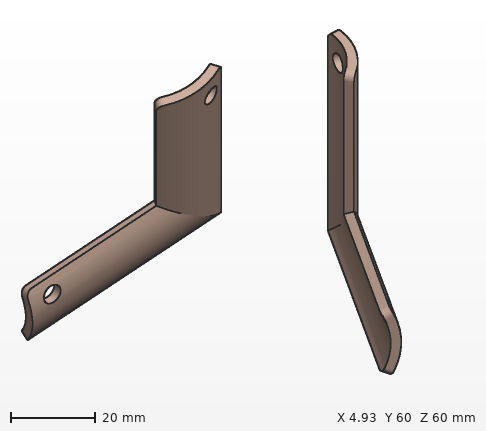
import cadquery as cq
import math

length = 60.0
width = length / 3
thickness = 2.6
outer_radius = width
corner_radius = 2.0
hole_diameter = 5.0
hole_end_distance = 6.65
hole_angle = 15.5

half_width = width / 2
arm_end = length - half_width
inner_radius = outer_radius - thickness
half_angle = math.asin(half_width / outer_radius)
arc_center_x = -inner_radius * math.cos(half_angle)


def arc_point(radius, angle):
    """Point of the arm's cross-section at an angle from +X."""
    return (arc_center_x + radius * math.cos(angle), radius * math.sin(angle))


def make_arm():
    """Upright curved arm with rounded free corners, mitred along Z = -Y."""
    arm = (
        cq.Workplane("XY", origin=(0, 0, -half_width))
        .moveTo(*arc_point(outer_radius, -half_angle))
        .threePointArc(arc_point(outer_radius, 0), arc_point(outer_radius, half_angle))
        .lineTo(*arc_point(inner_radius, half_angle))
        .threePointArc(arc_point(inner_radius, 0), arc_point(inner_radius, -half_angle))
        .close()
        .extrude(length)
    )
    arm = arm.faces(">Z").edges("%LINE").fillet(corner_radius)
    mitre_waste = (
        cq.Workplane("YZ")
        .polyline([(-width, width), (width, -width), (-width, -width)])
        .close()
        .extrude(width, both=True)
    )
    return arm.cut(mitre_waste)


def make_hole_cutter():
    """Radial cylinder through the upright arm near its free end."""
    angle = math.radians(hole_angle)
    axis = cq.Vector(math.cos(angle), math.sin(angle), 0)
    start = cq.Vector(arc_center_x, 0, arm_end - hole_end_distance)
    cylinder = cq.Solid.makeCylinder(hole_diameter / 2, 2 * outer_radius, start, axis)
    return cq.Workplane(obj=cylinder)


def turn_to_horizontal(shape):
    """Quarter turn about X that carries +Z to -Y."""
    return shape.rotate((0, 0, 0), (1, 0, 0), 90)


upright_arm = make_arm()
horizontal_arm = turn_to_horizontal(upright_arm.mirror("XZ"))
upright_hole = make_hole_cutter()
horizontal_hole = turn_to_horizontal(upright_hole)

result = upright_arm.union(horizontal_arm).cut(upright_hole).cut(horizontal_hole)